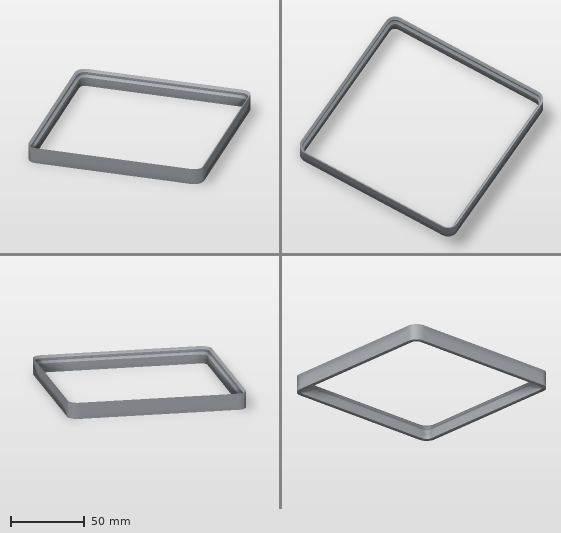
import cadquery as cq

side = 125.0
height = 11.5
corner_radius = 7.2

wall = 3.1
upper_bevel = 1.6
lower_bevel = wall - upper_bevel
step_height = 1.9

upper_bevel_bottom = height - upper_bevel
lower_bevel_top = upper_bevel_bottom - step_height
lower_bevel_bottom = lower_bevel_top - lower_bevel


def rounded_block(inset, bottom, top):
    """Rounded square block whose sides lie `inset` inside the outer faces."""
    width = side - 2 * inset
    block = cq.Workplane("XY").workplane(offset=bottom).rect(width, width).extrude(top - bottom)
    return block.edges("|Z").fillet(corner_radius - inset)


def bevelled_block(inset, bevel, bottom, top):
    """Rounded block narrowing downwards at 45 degrees over its lowest `bevel`."""
    return rounded_block(inset, bottom, top).faces("<Z").chamfer(bevel)


overshoot = 1.2
upper_opening = bevelled_block(0, upper_bevel, upper_bevel_bottom, height + overshoot)
step_opening = bevelled_block(upper_bevel, lower_bevel, lower_bevel_bottom, upper_bevel_bottom)
wall_opening = rounded_block(wall, 0, lower_bevel_bottom)

result = rounded_block(0, 0, height).cut(wall_opening).cut(step_opening).cut(upper_opening)